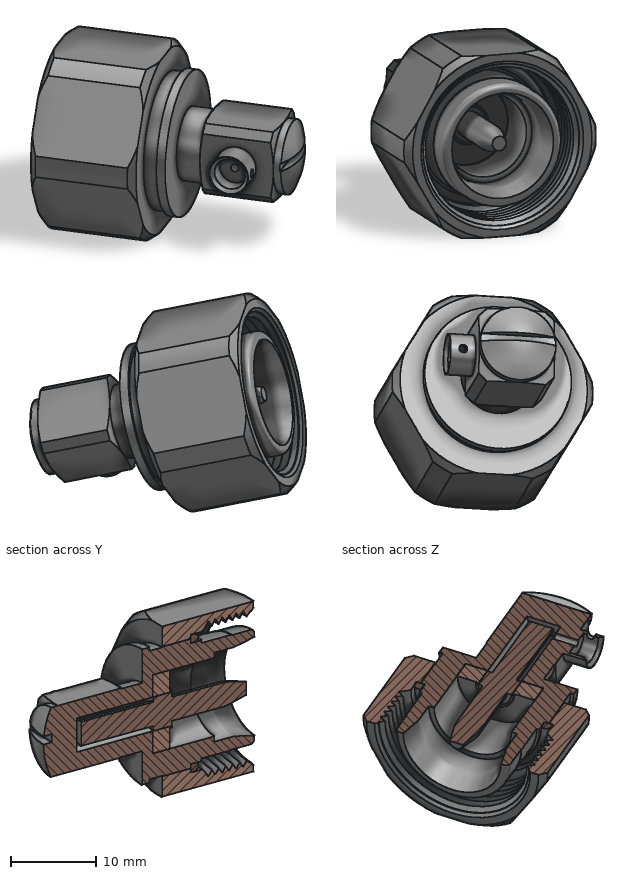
import cadquery as cq
import math


nut_front = 0.15
nut_length = 13.0
nut_back = nut_front + nut_length
nut_across_flats = 22.0
nut_corner_radius = 12.0
nut_chamfer = 0.8
nut_mouth_radius = 10.15
nut_mouth_depth = 0.33
nut_mouth_end_radius = 9.75
nut_land_end_depth = 0.45
thread_start_depth = 0.95
thread_major_radius = 10.0
thread_minor_radius = 9.25
thread_pitch = 1.0
thread_turns = 6
seal_bore_radius = 8.85

lip_radius = 7.42
lip_fillet = 0.63
conductor_step_x = 3.3
conductor_radius = 7.48
shoulder_start = 7.48
shoulder_radius = 7.85
collar_start = 8.98
collar_radius = 8.32
flange_start = 14.88
flange_end = 15.95
flange_radius = 8.77
neck_radius = 4.43

socket_mouth_radius = 6.35
socket_radius = 5.72
socket_taper_depth = 2.65
socket_taper_radius = 5.78
socket_land_end = 3.02
socket_depth = 5.7
inner_bore_radius = 5.03
inner_bore_end = 14.37
pin_cavity_radius = 2.15
pin_cavity_end = 25.15

block_start = 18.85
block_end = 27.92
block_width = 9.0
block_edge_chamfer = 0.95
block_end_cone = 0.33
cap_end = 28.85
dome_tip = 29.93
slot_width = 1.0
slot_floor_x = 28.73

port_x = 23.38
port_radius = 2.42
port_mouth_y = -7.48
port_mouth_radius = 2.33
port_mouth_depth = 0.45
port_bore_radius = 1.9
port_floor_y = -5.12
contact_hole_radius = 0.48
solder_hole_radius = 0.48
solder_hole_depth = 1.47

seal_start = 7.93
seal_round = 0.6

insulator_start = 11.97
insulator_edge_chamfer = 0.1
insulator_boss_radius = 2.45
insulator_boss_height = 0.3

pin_tip_x = 1.17
pin_tip_radius = 0.87
pin_taper_length = 2.4
pin_taper_radius = 1.47
pin_round_length = 0.95
pin_radius = 1.6
pin_root_radius = 2.15
pin_end = 24.55


def revolve_about_x(profile):
    """Turn a closed profile, drawn with X along the axis and Y as radius, about the X axis."""
    return profile.close().revolve(360, (0, 0, 0), (1, 0, 0))


def turned(points):
    """Solid of revolution about X from (axial position, radius) points."""
    return revolve_about_x(cq.Workplane("XY").polyline(points))


def cylinder_x(start, end, radius):
    return cq.Workplane("YZ", origin=(start, 0, 0)).circle(radius).extrude(end - start)


def cylinder_y(start, end, radius):
    """Cylinder on the port axis, running in +Y from start to end."""
    plane = cq.Workplane("XZ", origin=(port_x, start, 0))
    return plane.circle(radius).extrude(start - end)


def make_nut():
    hexagon_diameter = nut_across_flats / math.cos(math.radians(30))
    hexagon = cq.Workplane("YZ", origin=(nut_front, 0, 0)).polygon(6, hexagon_diameter).extrude(nut_length)
    face_radius = nut_corner_radius - nut_chamfer
    envelope = turned([
        (nut_front, 0),
        (nut_front, face_radius),
        (nut_front + nut_chamfer, nut_corner_radius),
        (nut_back - nut_chamfer, nut_corner_radius),
        (nut_back, face_radius),
        (nut_back, 0),
    ])
    thread_start = nut_front + thread_start_depth
    bore = [
        (nut_front, 0),
        (nut_front, nut_mouth_radius),
        (nut_front + nut_mouth_depth, nut_mouth_end_radius),
        (nut_front + nut_land_end_depth, nut_mouth_end_radius),
        (thread_start, thread_minor_radius),
    ]
    for turn in range(thread_turns):
        crest = thread_start + turn * thread_pitch
        bore.append((crest + thread_pitch / 2, thread_major_radius))
        bore.append((crest + thread_pitch, thread_minor_radius))
    thread_end = thread_start + thread_turns * thread_pitch
    bore += [
        (thread_end + thread_minor_radius - seal_bore_radius, seal_bore_radius),
        (collar_start, seal_bore_radius),
        (collar_start, collar_radius),
        (nut_back, collar_radius),
        (nut_back, 0),
    ]
    return hexagon.intersect(envelope).cut(turned(bore))


def make_conductor():
    """Turned front of the housing, from the mating lip to the neck."""
    round_offset = lip_fillet * (1 - math.sqrt(0.5))
    profile = (
        cq.Workplane("XY")
        .moveTo(0, 0)
        .lineTo(0, lip_radius - lip_fillet)
        .threePointArc((round_offset, lip_radius - round_offset), (lip_fillet, lip_radius))
        .lineTo(conductor_step_x, lip_radius)
        .lineTo(conductor_step_x, conductor_radius)
        .lineTo(shoulder_start, conductor_radius)
        .lineTo(shoulder_start, shoulder_radius)
        .lineTo(collar_start, shoulder_radius)
        .lineTo(collar_start, collar_radius)
        .lineTo(flange_start, collar_radius)
        .lineTo(flange_start, flange_radius)
        .lineTo(flange_end, flange_radius)
        .lineTo(flange_end, neck_radius)
        .lineTo(block_start, neck_radius)
        .lineTo(block_start, 0)
    )
    return revolve_about_x(profile)


def make_block():
    """Square block with bevelled edges, its ends turned down to cones."""
    half_width = block_width / 2
    corner_radius = math.hypot(half_width, half_width - block_edge_chamfer)
    block = (
        cq.Workplane("YZ", origin=(block_start, 0, 0))
        .rect(block_width, block_width)
        .extrude(block_end - block_start)
        .edges("|X")
        .chamfer(block_edge_chamfer)
    )
    envelope = turned([
        (block_start, 0),
        (block_start, half_width),
        (block_start + block_end_cone, corner_radius),
        (block_end - block_end_cone, corner_radius),
        (block_end, half_width),
        (block_end, 0),
    ])
    return block.intersect(envelope)


def make_domed_end():
    """Round end with a spherical dome and a screwdriver slot above the axis."""
    rim_radius = block_width / 2
    dome_height = dome_tip - cap_end
    dome_radius = (rim_radius**2 + dome_height**2) / (2 * dome_height)
    mid_angle = math.asin(rim_radius / dome_radius) / 2
    dome_centre_x = dome_tip - dome_radius
    dome_middle = (
        dome_centre_x + dome_radius * math.cos(mid_angle),
        dome_radius * math.sin(mid_angle),
    )
    profile = (
        cq.Workplane("XY")
        .moveTo(block_end, 0)
        .lineTo(block_end, rim_radius)
        .lineTo(cap_end, rim_radius)
        .threePointArc(dome_middle, (dome_tip, 0))
    )
    slot = cq.Workplane("XY").box(
        dome_tip - slot_floor_x, block_width, slot_width, centered=(False, True, False)
    )
    return revolve_about_x(profile).cut(slot.translate((slot_floor_x, 0, 0)))


def make_socket_cutter():
    """Stepped space along the main axis: tapered mouth, insulator bore and pin cavity."""
    return turned([
        (0, 0),
        (0, socket_mouth_radius),
        (socket_taper_depth, socket_taper_radius),
        (socket_land_end, socket_radius),
        (socket_depth, socket_radius),
        (socket_depth, inner_bore_radius),
        (inner_bore_end, inner_bore_radius),
        (inner_bore_end, pin_cavity_radius),
        (pin_cavity_end, pin_cavity_radius),
        (pin_cavity_end, 0),
    ])


def make_port_cutter():
    """Countersunk cable bore, contact hole in its floor and solder hole in its +X wall."""
    bore = cylinder_y(port_mouth_y, port_floor_y, port_bore_radius)
    mouth = (
        cq.Workplane("XZ", origin=(port_x, port_mouth_y, 0))
        .circle(port_mouth_radius)
        .workplane(offset=-port_mouth_depth)
        .circle(port_bore_radius)
        .loft(ruled=True)
    )
    contact_hole = cylinder_y(port_floor_y, 0, contact_hole_radius)
    solder_hole = cylinder_x(port_x, port_x + port_radius, solder_hole_radius)
    solder_hole = solder_hole.translate((0, port_mouth_y + solder_hole_depth, 0))
    return bore.union(mouth).union(contact_hole).union(solder_hole)


def make_housing():
    port = cylinder_y(port_mouth_y, 0, port_radius)
    outside = make_conductor().union(make_block()).union(make_domed_end()).union(port)
    return outside.cut(make_socket_cutter()).cut(make_port_cutter())


def make_seal():
    """Ring on the housing shoulder, against the collar, with a rounded outer front edge."""
    ring = cylinder_x(seal_start, collar_start, seal_bore_radius)
    ring = ring.edges("<X").fillet(seal_round)
    return ring.cut(cylinder_x(seal_start, collar_start, shoulder_radius))


def make_insulator():
    """Disc at the bottom of the inner bore, with a low boss around the pin."""
    disc = cylinder_x(insulator_start, inner_bore_end, inner_bore_radius)
    disc = disc.edges("<X").chamfer(insulator_edge_chamfer)
    boss_start = insulator_start - insulator_boss_height
    boss = cylinder_x(boss_start, insulator_start, insulator_boss_radius)
    return disc.union(boss).cut(cylinder_x(boss_start, inner_bore_end, pin_root_radius))


def make_pin():
    """Pin with a tapered tip and a thicker root held by the insulator."""
    root_start = insulator_start - insulator_boss_height
    taper_end = pin_tip_x + pin_taper_length
    profile = (
        cq.Workplane("XY")
        .moveTo(pin_tip_x, 0)
        .lineTo(pin_tip_x, pin_tip_radius)
        .lineTo(taper_end, pin_taper_radius)
        .tangentArcPoint((taper_end + pin_round_length, pin_radius), relative=False)
        .lineTo(root_start, pin_radius)
        .lineTo(root_start, pin_root_radius)
        .lineTo(inner_bore_end, pin_root_radius)
        .lineTo(inner_bore_end, pin_radius)
        .lineTo(pin_end, pin_radius)
        .lineTo(pin_end, 0)
    )
    return revolve_about_x(profile)


nut = make_nut()
housing = make_housing()
seal = make_seal()
insulator = make_insulator()
pin = make_pin()

result = cq.Compound.makeCompound([
    nut.val(),
    housing.val(),
    seal.val(),
    insulator.val(),
    pin.val(),
])